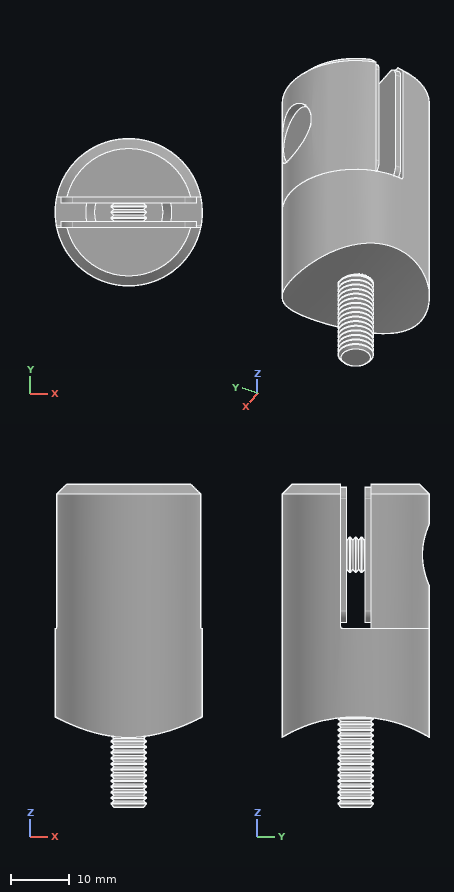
import cadquery as cq

OVERALL_HEIGHT = 54.9
BODY_DIAMETER = 25.0
BODY_RADIUS = BODY_DIAMETER / 2
TOP_CHAMFER = 1.7

SLOT_WIDTH = 5.1
SLOT_HALF = SLOT_WIDTH / 2
SLOT_FLOOR_Z = 30.4
SLOT_FILLET = 0.3

SADDLE_RADIUS = 24.15
SADDLE_TOP_Z = 15.35

PAD_SIZE = 23.0
PAD_THICKNESS = 1.0
PAD_CORNER = 2.0
PAD_HOLE_DIAMETER = 7.0

THREAD_DIAMETER = 6.0
ROOT_DIAMETER = 5.0
CREST_WIDTH = 0.15

SCREW_Z = 42.85
SCREW_PITCH = 1.0
SCREW_RIDGES = 5
SCREW_TIP_Y = -7.0
HEAD_DIAMETER = 10.0
HEAD_HEIGHT = 6.0
HEAD_SEAT_Y = 5.2
COUNTERBORE_DIAMETER = 10.6
JAW_HOLE_DIAMETER = 6.5

MOUNT_PITCH = 0.96
MOUNT_RIDGES = 16
MOUNT_FIRST_CREST_Z = 0.65
MOUNT_HEAD_DIAMETER = 11.6
COUNTERSINK_DIAMETER = 14.6
MOUNT_HEAD_TOP_Z = SLOT_FLOOR_Z - (COUNTERSINK_DIAMETER - MOUNT_HEAD_DIAMETER) / 2
MOUNT_NECK_Z = MOUNT_HEAD_TOP_Z - (MOUNT_HEAD_DIAMETER - THREAD_DIAMETER) / 2


def chamfered_cylinder():
    """Full outer cylinder from Z = 0 to the top, with the top rim chamfered."""
    cylinder = cq.Workplane("XY").circle(BODY_RADIUS).extrude(OVERALL_HEIGHT)
    return cylinder.faces(">Z").chamfer(TOP_CHAMFER)


def block(y_min, y_max, z_min, z_max):
    """Box wider than the body in X, used to trim it."""
    base = cq.Workplane("XY", origin=(0, y_min, z_min))
    return base.box(2 * BODY_DIAMETER, y_max - y_min, z_max - z_min, centered=(True, False, False))


def y_cylinder(diameter, y_min, y_max):
    """Cylinder on the clamp screw axis."""
    plane = cq.Workplane("XZ", origin=(0, y_min, SCREW_Z))
    return plane.circle(diameter / 2).extrude(y_min - y_max)


def ridge_points(first_crest, pitch, count):
    """Radius and axial place of the corners of a row of thread ridges."""
    points = []
    for index in range(count):
        crest = first_crest + index * pitch
        points.append((THREAD_DIAMETER / 2, crest - CREST_WIDTH / 2))
        points.append((THREAD_DIAMETER / 2, crest + CREST_WIDTH / 2))
        points.append((ROOT_DIAMETER / 2, crest + pitch / 2))
    return points


def revolved(points):
    """Solid of revolution about Z from (radius, Z) corners, closed along the axis."""
    outline = [(0, points[0][1])] + points + [(0, points[-1][1])]
    return cq.Workplane("XZ").polyline(outline).close().revolve(360, (0, 0, 0), (0, 1, 0))


def make_housing():
    """Round post with a saddle below, half of the panel slot and both screw holes."""
    housing = chamfered_cylinder()
    saddle_z = SADDLE_TOP_Z - SADDLE_RADIUS
    rail = cq.Workplane("YZ").center(0, saddle_z).circle(SADDLE_RADIUS).extrude(BODY_DIAMETER, both=True)
    housing = housing.cut(rail)

    opening = block(-SLOT_HALF, BODY_DIAMETER, SLOT_FLOOR_Z, OVERALL_HEIGHT)
    opening = opening.edges("<Y and <Z").fillet(SLOT_FILLET)
    housing = housing.cut(opening)

    countersink = revolved(
        [
            (THREAD_DIAMETER / 2, 0),
            (THREAD_DIAMETER / 2, MOUNT_NECK_Z),
            (COUNTERSINK_DIAMETER / 2, SLOT_FLOOR_Z),
        ]
    )
    housing = housing.cut(countersink)

    return housing.cut(y_cylinder(THREAD_DIAMETER, SCREW_TIP_Y, 0))


def make_jaw():
    """Other half of the post above the slot floor, counterbored for the clamp screw head."""
    jaw = chamfered_cylinder().intersect(block(SLOT_HALF, BODY_DIAMETER, SLOT_FLOOR_Z, OVERALL_HEIGHT))
    jaw = jaw.cut(y_cylinder(COUNTERBORE_DIAMETER, HEAD_SEAT_Y, BODY_DIAMETER))
    return jaw.cut(y_cylinder(JAW_HOLE_DIAMETER, 0, BODY_DIAMETER))


def make_pad(y_min):
    """Square cushion with rounded corners, its lower Y face at y_min."""
    pad = cq.Workplane("XY").box(PAD_SIZE, PAD_THICKNESS, PAD_SIZE, centered=(True, False, True))
    pad = pad.edges("|Y").fillet(PAD_CORNER).translate((0, y_min, SCREW_Z))
    return pad.cut(y_cylinder(PAD_HOLE_DIAMETER, y_min, y_min + PAD_THICKNESS))


def make_clamp_screw():
    """Cap screw through the jaw and pads, with thread ridges where it crosses the slot."""
    first_crest = -SCREW_PITCH * (SCREW_RIDGES - 1) / 2
    ridge_start = first_crest - SCREW_PITCH / 2
    radius = THREAD_DIAMETER / 2
    ridges = ridge_points(first_crest, SCREW_PITCH, SCREW_RIDGES)
    points = [(radius, SCREW_TIP_Y), (radius, ridge_start), (ROOT_DIAMETER / 2, ridge_start)]
    points += ridges
    points += [
        (radius, -ridge_start),
        (radius, HEAD_SEAT_Y),
        (HEAD_DIAMETER / 2, HEAD_SEAT_Y),
        (HEAD_DIAMETER / 2, HEAD_SEAT_Y + HEAD_HEIGHT),
    ]
    screw = revolved(points).rotate((0, 0, 0), (1, 0, 0), -90)
    return screw.translate((0, 0, SCREW_Z))


def make_mounting_screw():
    """Countersunk screw through the housing, with thread ridges below the saddle."""
    ridges = ridge_points(MOUNT_FIRST_CREST_Z, MOUNT_PITCH, MOUNT_RIDGES)
    ridge_end = ridges[-1][1]
    points = [(ROOT_DIAMETER / 2, 0)] + ridges
    points += [
        (THREAD_DIAMETER / 2, ridge_end),
        (THREAD_DIAMETER / 2, MOUNT_NECK_Z),
        (MOUNT_HEAD_DIAMETER / 2, MOUNT_HEAD_TOP_Z),
    ]
    return revolved(points)


housing = make_housing()
jaw = make_jaw()
pads = [make_pad(y_min) for y_min in (-SLOT_HALF, SLOT_HALF - PAD_THICKNESS)]
clamp_screw = make_clamp_screw()
mounting_screw = make_mounting_screw()

result = cq.Compound.makeCompound(
    [housing.val(), jaw.val(), *[pad.val() for pad in pads], clamp_screw.val(), mounting_screw.val()]
)